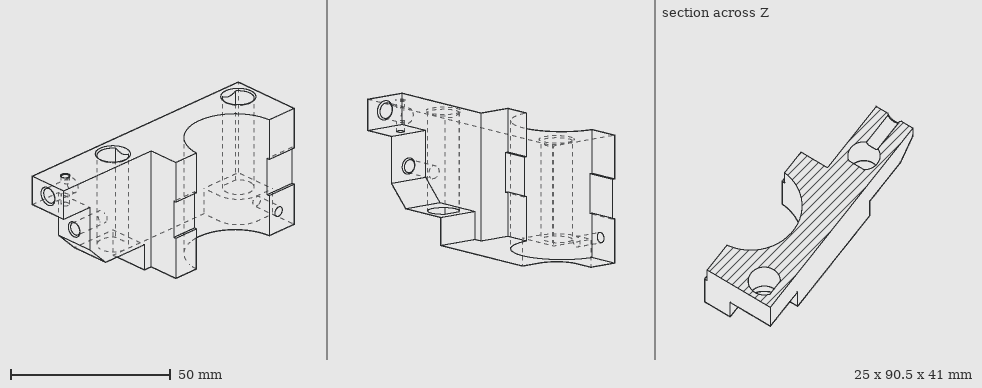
import cadquery as cq
import math

WIDTH = 25.0
LENGTH = 90.5
HEIGHT = 41.0

BAR_WIDTH = 14.0
LUG_FRONT_Y = 38.5
LIP_THICKNESS = 10.05
LIP_LENGTH = 11.5
CHAMFER = 7.0
FOOT_HEIGHT = 9.0
FOOT_FRONT_Y = 35.5

CRADLE_RADIUS = 16.0
CRADLE_DEPTH = 15.0
CRADLE_Y = 63.5

GROOVE_DEPTH = 0.9
GROOVE_BOTTOM_Z = 14.2
GROOVE_TOP_Z = 27.0

AXIS_X = BAR_WIDTH / 2
BORE_DIAMETER = 10.0
BORE_RIM_DIAMETER = 11.0
BORE_FLAT_OFFSET = 4.1
REAR_BORE_Y = 83.6
FRONT_BORE_Y = 28.5

POCKET_RADIUS = 8.2
CROSS_HOLE_DIAMETER = 3.3
CROSS_HOLE_Z = 7.1

UPPER_HOLE_DIAMETER = 5.0
UPPER_RIM_DIAMETER = 6.15
UPPER_HOLE_Z = 36.5
UPPER_HOLE_DEPTH = 10.9
DRILL_POINT_ANGLE = 118.0
LOWER_HOLE_DIAMETER = 4.2
LOWER_RIM_DIAMETER = 5.2
LOWER_HOLE_Z = 20.5
LIP_HOLE_DIAMETER = 2.5
LIP_HOLE_RIM_DIAMETER = 3.0
LIP_HOLE_Y = 7.6

UP = cq.Vector(0, 0, 1)
DOWN = cq.Vector(0, 0, -1)
BACKWARD = cq.Vector(0, 1, 0)


def box(x_range, y_range, z_range):
    """Axis-aligned box between pairs of limits."""
    sizes = [high - low for low, high in (x_range, y_range, z_range)]
    corner = (x_range[0], y_range[0], z_range[0])
    return cq.Workplane("XY").box(*sizes, centered=False).translate(corner)


def cylinder(diameter, length, start, direction):
    solid = cq.Solid.makeCylinder(diameter / 2, length, cq.Vector(*start), direction)
    return cq.Workplane(solid)


def rim_cone(rim_diameter, bottom_diameter, start, direction):
    """Cone of a 45 degree countersink."""
    depth = (rim_diameter - bottom_diameter) / 2
    solid = cq.Solid.makeCone(rim_diameter / 2, bottom_diameter / 2, depth, cq.Vector(*start), direction)
    return cq.Workplane(solid)


def body():
    """Stepped bar with a full-height lug on the +X side."""
    side_outline = [
        (LENGTH, 0),
        (LENGTH, HEIGHT),
        (0, HEIGHT),
        (0, HEIGHT - LIP_THICKNESS),
        (LIP_LENGTH, HEIGHT - LIP_THICKNESS),
        (LIP_LENGTH, FOOT_HEIGHT + CHAMFER),
        (LIP_LENGTH + CHAMFER, FOOT_HEIGHT),
        (FOOT_FRONT_Y, FOOT_HEIGHT),
        (FOOT_FRONT_Y, 0),
    ]
    bar = cq.Workplane("YZ").polyline(side_outline).close().extrude(BAR_WIDTH)
    lug = box((0, WIDTH), (LUG_FRONT_Y, LENGTH), (0, HEIGHT))
    return bar.union(lug)


def cradle():
    center_x = WIDTH - CRADLE_DEPTH + CRADLE_RADIUS
    return cylinder(2 * CRADLE_RADIUS, HEIGHT, (center_x, CRADLE_Y, 0), UP)


def groove():
    return box((WIDTH - GROOVE_DEPTH, WIDTH), (0, LENGTH), (GROOVE_BOTTOM_Z, GROOVE_TOP_Z))


def d_bore(y, flat_angle):
    """Through bore with one flat; the flat also trims its countersink."""
    bore = cylinder(BORE_DIAMETER, HEIGHT, (0, 0, 0), UP)
    reach = BORE_RIM_DIAMETER
    keep = box((-reach, BORE_FLAT_OFFSET), (-reach, reach), (0, HEIGHT))
    bore = bore.intersect(keep)
    sink_bottom_diameter = 2 * BORE_FLAT_OFFSET
    sink = rim_cone(BORE_RIM_DIAMETER, sink_bottom_diameter, (0, 0, HEIGHT), DOWN)
    return bore.union(sink).rotate((0, 0, 0), (0, 0, 1), flat_angle).translate((AXIS_X, y, 0))


def rear_pocket():
    """Slot with a rounded inner corner, open to -X, +Y and the underside."""
    return (
        cq.Workplane("XY")
        .moveTo(0, LENGTH)
        .lineTo(0, REAR_BORE_Y - POCKET_RADIUS)
        .lineTo(AXIS_X, REAR_BORE_Y - POCKET_RADIUS)
        .radiusArc((AXIS_X + POCKET_RADIUS, REAR_BORE_Y), -POCKET_RADIUS)
        .lineTo(AXIS_X + POCKET_RADIUS, LENGTH)
        .close()
        .extrude(FOOT_HEIGHT)
    )


def cross_hole():
    start = (AXIS_X, REAR_BORE_Y, CROSS_HOLE_Z)
    return cylinder(CROSS_HOLE_DIAMETER, WIDTH, start, cq.Vector(1, 0, 0))


def upper_front_hole():
    """Blind hole with a conical drill point."""
    start = (AXIS_X, 0, UPPER_HOLE_Z)
    end = cq.Vector(AXIS_X, UPPER_HOLE_DEPTH, UPPER_HOLE_Z)
    radius = UPPER_HOLE_DIAMETER / 2
    point_length = radius / math.tan(math.radians(DRILL_POINT_ANGLE / 2))
    point = cq.Workplane(cq.Solid.makeCone(radius, 0, point_length, end, BACKWARD))
    hole = cylinder(UPPER_HOLE_DIAMETER, UPPER_HOLE_DEPTH, start, BACKWARD)
    rim = rim_cone(UPPER_RIM_DIAMETER, UPPER_HOLE_DIAMETER, start, BACKWARD)
    return hole.union(point).union(rim)


def lower_front_hole():
    """Countersunk hole that opens into the front bore."""
    start = (AXIS_X, LIP_LENGTH, LOWER_HOLE_Z)
    hole = cylinder(LOWER_HOLE_DIAMETER, FRONT_BORE_Y - LIP_LENGTH, start, BACKWARD)
    return hole.union(rim_cone(LOWER_RIM_DIAMETER, LOWER_HOLE_DIAMETER, start, BACKWARD))


def lip_hole():
    start = (AXIS_X, LIP_HOLE_Y, HEIGHT)
    hole = cylinder(LIP_HOLE_DIAMETER, LIP_THICKNESS, start, DOWN)
    return hole.union(rim_cone(LIP_HOLE_RIM_DIAMETER, LIP_HOLE_DIAMETER, start, DOWN))


cutters = [
    cradle(),
    groove(),
    d_bore(REAR_BORE_Y, 180),
    d_bore(FRONT_BORE_Y, 90),
    rear_pocket(),
    cross_hole(),
    upper_front_hole(),
    lower_front_hole(),
    lip_hole(),
]

result = body()
for cutter in cutters:
    result = result.cut(cutter)